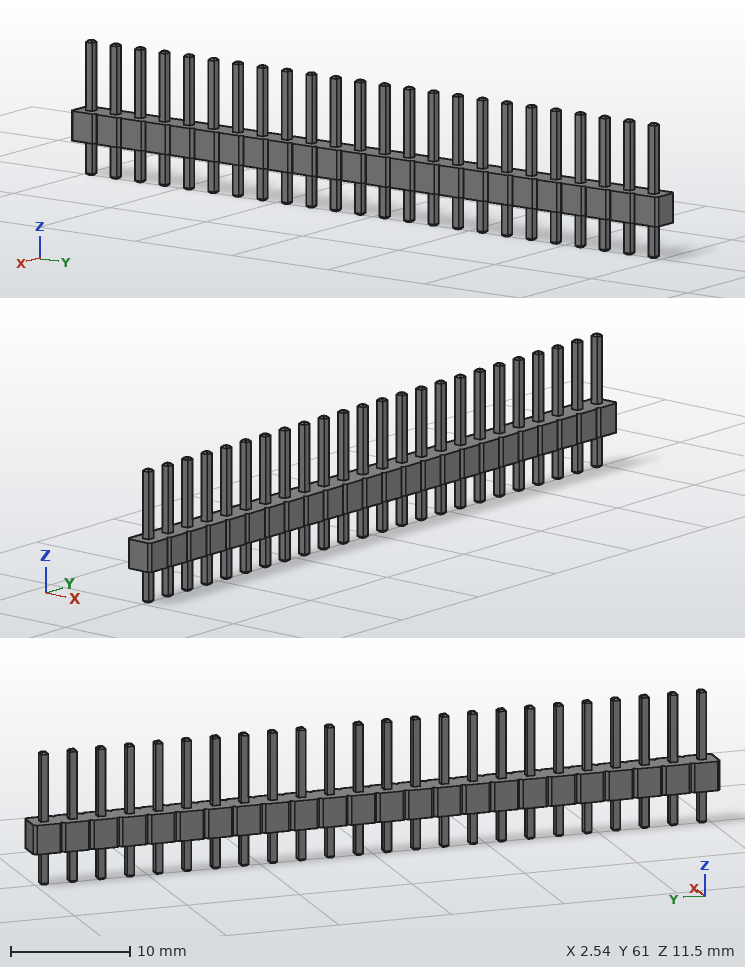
import cadquery as cq

pin_count = 24
pitch = 2.54
body_width = 2.54
body_height = 2.54
cell_chamfer = 0.254
pin_side = 0.64
pin_tip_chamfer = 0.16
pin_below_body = 3.0
pin_above_body = 6.0
pin_length = pin_below_body + body_height + pin_above_body

pin_positions = [(0, -index * pitch) for index in range(pin_count)]


def make_cell():
    """One body cell standing on Z = 0, with its four vertical corners chamfered."""
    cell = cq.Workplane("XY").box(body_width, pitch, body_height, centered=(True, True, False))
    return cell.edges("|Z").chamfer(cell_chamfer)


def make_pin():
    """One square pin through the body, chamfered around both tips."""
    pin = (
        cq.Workplane("XY")
        .workplane(offset=-pin_below_body)
        .box(pin_side, pin_side, pin_length, centered=(True, True, False))
    )
    return pin.faces("<Z or >Z").edges().chamfer(pin_tip_chamfer)


cell_with_pin = make_cell().union(make_pin()).val()
result = cq.Workplane("XY").pushPoints(pin_positions).eachpoint(
    lambda location: cell_with_pin.moved(location), combine="a"
)